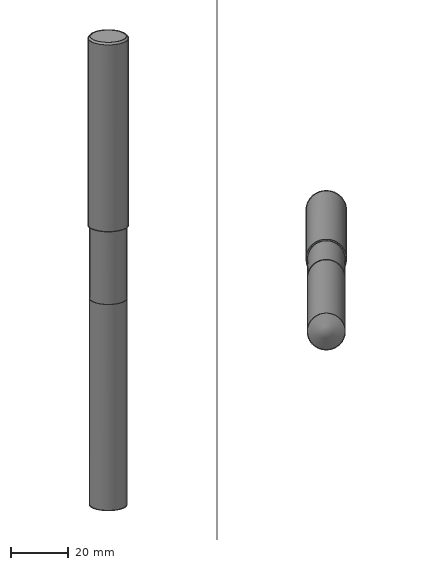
import cadquery as cq
import math

total_length = 176.0
shank_diameter = 14.0
shank_length = 70.0
shank_chamfer = 0.7
neck_diameter = 13.0
neck_length = 27.1
cutter_diameter = 13.2
point_angle = 140.0

shank_bottom = total_length - shank_length
neck_bottom = shank_bottom - neck_length
cutter_radius = cutter_diameter / 2
point_height = cutter_radius / math.tan(math.radians(point_angle / 2))


def make_shank():
    """Clamping shank with a chamfered top end, and the thinner neck below it."""
    shank = (
        cq.Workplane("XY")
        .workplane(offset=shank_bottom)
        .circle(shank_diameter / 2)
        .extrude(shank_length)
        .faces(">Z")
        .chamfer(shank_chamfer)
    )
    neck = (
        cq.Workplane("XY")
        .workplane(offset=neck_bottom)
        .circle(neck_diameter / 2)
        .extrude(neck_length)
    )
    return shank.union(neck)


def make_cutter():
    """Cutting length with a conical point, revolved about Z."""
    half_profile = (
        cq.Workplane("XZ")
        .lineTo(cutter_radius, point_height)
        .lineTo(cutter_radius, neck_bottom)
        .lineTo(0, neck_bottom)
        .close()
    )
    return half_profile.revolve(360, (0, 0, 0), (0, 1, 0))


shank = make_shank()
cutter = make_cutter()

result = cq.Compound.makeCompound([shank.val(), cutter.val()])